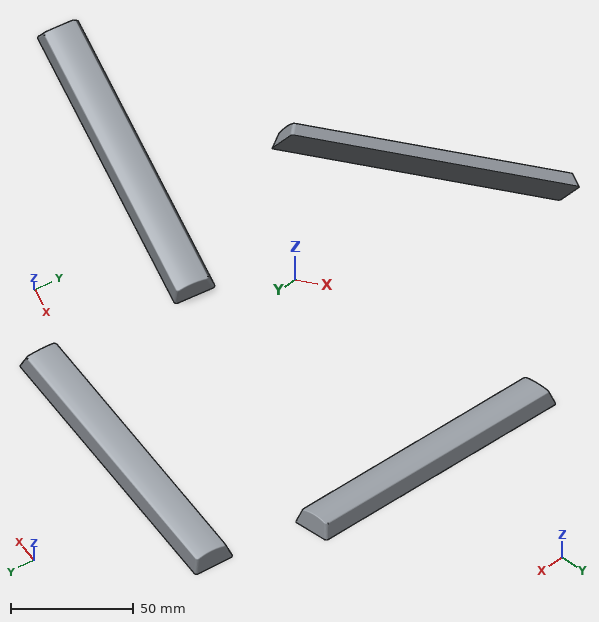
import cadquery as cq
import math

length = 132.6
width = 18.4
height = 7.2

wall_angle = 18.0
corner_radius = 1.3
rim_radius = 0.5

crown_rise = 1.0


def tapered_block():
    """Solid bar with four inward-leaning walls and rounded upright corners."""
    inset = height * math.tan(math.radians(wall_angle))
    block = (
        cq.Workplane("XY")
        .rect(length, width)
        .workplane(offset=height)
        .rect(length - 2 * inset, width - 2 * inset)
        .loft(ruled=True)
    )
    return block.edges("not(#Z)").fillet(corner_radius)


def crown_envelope():
    """Prism along X whose upper side is the crown arc."""
    shoulder_height = height - crown_rise
    shoulder_inset = shoulder_height * math.tan(math.radians(wall_angle))
    half_top = width / 2 - shoulder_inset
    half_width = width / 2
    return (
        cq.Workplane("YZ")
        .moveTo(-half_width, 0)
        .lineTo(-half_width, shoulder_height)
        .lineTo(-half_top, shoulder_height)
        .threePointArc((0, height), (half_top, shoulder_height))
        .lineTo(half_width, shoulder_height)
        .lineTo(half_width, 0)
        .close()
        .extrude(length / 2, both=True)
    )


crowned_cap = tapered_block().intersect(crown_envelope())
result = crowned_cap.faces(">Z").edges().fillet(rim_radius)